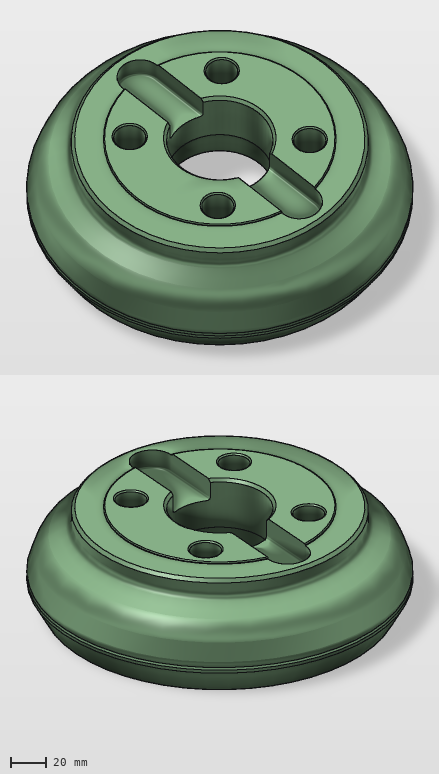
import cadquery as cq
import math

total_height = 63.0
boss_height = 1.0
shoulder_z = total_height - boss_height
neck_bottom_z = 54.0
hub_bottom_z = 17.0
seat_z = 19.0

rim_radius = 109.0
neck_radius = 83.75
neck_chamfer = 2.0
boss_radius = 65.5
boss_chamfer = 0.7
cove_end = (86.5, 49.5)
flare_end = (96.5, 43.5)
round_end = (105.0, 33.1)
rim_top = (108.7, 22.7)
rim_middle_z = 21.3
seat_radius = 108.3

bore_diameter = 60.0
bore_chamfer = 1.7
relief_diameter = 62.0
relief_top_z = 32.0

slot_angle = 22.5
slot_width = 26.0
slot_end_distance = 65.0
slot_depth = 13.3
slot_floor_fillet = 2.0

hole_count = 4
hole_diameter = 18.0
hole_chamfer = 0.9
hole_circle_radius = 50.8
first_hole_angle = slot_angle + 180 / hole_count

ring_inner_radius = neck_radius
ring_edge_bottom_z = 15.7
ring_edge_top_z = 17.6
ring_bottom_radius = 100.0
ring_bottom_chamfer = 0.7


def make_hub_blank():
    """Revolved hub: raised boss, neck, flared shoulder and a spigot that centres the ring."""
    profile = (
        cq.Workplane("XZ")
        .moveTo(0, hub_bottom_z)
        .lineTo(0, total_height)
        .lineTo(boss_radius - boss_chamfer, total_height)
        .lineTo(boss_radius, total_height - boss_chamfer)
        .lineTo(boss_radius, shoulder_z)
        .lineTo(neck_radius - neck_chamfer, shoulder_z)
        .lineTo(neck_radius, shoulder_z - neck_chamfer)
        .lineTo(neck_radius, neck_bottom_z)
        .tangentArcPoint(cove_end, relative=False)
        .lineTo(*flare_end)
        .tangentArcPoint(round_end, relative=False)
        .lineTo(*rim_top)
        .threePointArc((rim_radius, rim_middle_z), (seat_radius, seat_z))
        .lineTo(ring_inner_radius, seat_z)
        .lineTo(ring_inner_radius, hub_bottom_z)
        .close()
    )
    return profile.revolve(360, (0, 0, 0), (0, 1, 0))


def make_bore_cutter():
    """Stepped through bore with a chamfered mouth."""
    bore_radius = bore_diameter / 2
    mouth_radius = bore_radius + bore_chamfer
    relief_radius = relief_diameter / 2
    profile = (
        cq.Workplane("XZ")
        .moveTo(0, hub_bottom_z)
        .lineTo(relief_radius, hub_bottom_z)
        .lineTo(relief_radius, relief_top_z)
        .lineTo(bore_radius, relief_top_z)
        .lineTo(bore_radius, total_height - bore_chamfer)
        .lineTo(mouth_radius, total_height)
        .lineTo(0, total_height)
        .close()
    )
    return profile.revolve(360, (0, 0, 0), (0, 1, 0))


def make_slot_cutter():
    """Round-ended driving slot with a filleted floor."""
    slot_length = 2 * slot_end_distance + slot_width
    return (
        cq.Workplane("XY")
        .workplane(offset=total_height - slot_depth)
        .slot2D(slot_length, slot_width, slot_angle)
        .extrude(slot_depth)
        .faces("<Z")
        .edges()
        .fillet(slot_floor_fillet)
    )


def make_hole_cutter(angle):
    """Through bolt hole with a chamfered mouth, at the given angle in degrees."""
    x = hole_circle_radius * math.cos(math.radians(angle))
    y = hole_circle_radius * math.sin(math.radians(angle))
    radius = hole_diameter / 2
    profile = (
        cq.Workplane("XZ")
        .moveTo(0, hub_bottom_z)
        .lineTo(radius, hub_bottom_z)
        .lineTo(radius, total_height - hole_chamfer)
        .lineTo(radius + hole_chamfer, total_height)
        .lineTo(0, total_height)
        .close()
    )
    return profile.revolve(360, (0, 0, 0), (0, 1, 0)).translate((x, y, 0))


def make_hub():
    hub = make_hub_blank().cut(make_bore_cutter()).cut(make_slot_cutter())
    for index in range(hole_count):
        hub = hub.cut(make_hole_cutter(first_hole_angle + index * 360 / hole_count))
    return hub


def make_ring():
    """Tapered ring that sits under the hub rim, around the spigot."""
    profile = (
        cq.Workplane("XZ")
        .moveTo(ring_inner_radius, 0)
        .lineTo(ring_bottom_radius, 0)
        .lineTo(ring_bottom_radius + ring_bottom_chamfer, ring_bottom_chamfer)
        .lineTo(rim_radius, ring_edge_bottom_z)
        .lineTo(rim_radius, ring_edge_top_z)
        .lineTo(seat_radius, seat_z)
        .lineTo(ring_inner_radius, seat_z)
        .close()
    )
    return profile.revolve(360, (0, 0, 0), (0, 1, 0))


hub = make_hub()
ring = make_ring()

result = cq.Compound.makeCompound([hub.val(), ring.val()])